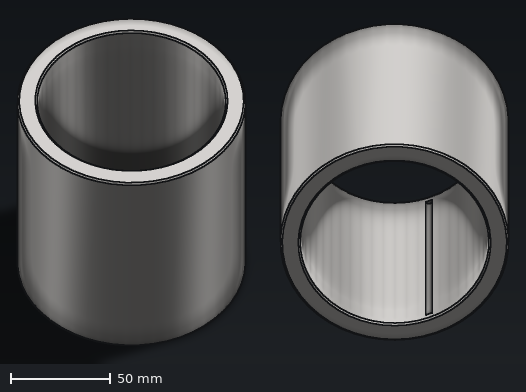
import cadquery as cq

length = 120.0
outer_diameter = 115.0
bore_diameter = 95.0
edge_chamfer = 1.0

groove_diameter = 3.4
groove_end_margin = 4.5
groove_length = length - 2 * groove_end_margin


def make_sleeve():
    """Tube with the inner and outer rims chamfered at both ends."""
    tube = (
        cq.Workplane("XY")
        .circle(outer_diameter / 2)
        .circle(bore_diameter / 2)
        .extrude(length)
        .translate((0, 0, -length / 2))
    )
    return tube.faces("<Z or >Z").edges().chamfer(edge_chamfer)


def make_groove_cutter():
    """Round bar centred on the bore wall, so half of it enters the wall."""
    return (
        cq.Workplane("XY")
        .center(bore_diameter / 2, 0)
        .circle(groove_diameter / 2)
        .extrude(groove_length / 2, both=True)
    )


result = make_sleeve().cut(make_groove_cutter())